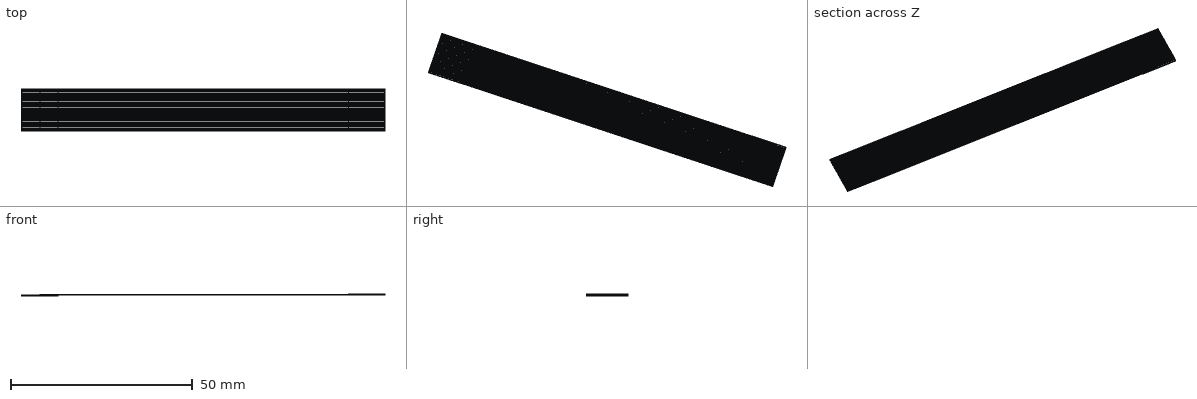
import cadquery as cq

cable_length = 100.0
cable_width = 11.5

channel_pitch = 0.5
channel_count = round(cable_width / channel_pitch) - 1
channel_width = 0.3
channel_height = 0.05

cable_thickness = 0.14
film_thickness = (cable_thickness - channel_height) / 2
exposed_length = 5.0

overall_thickness = 0.59
stiffener_thickness = (overall_thickness - cable_thickness) / 2
stiffener_length = 10.0

cable_end = cable_length / 2
cable_start = -cable_end
channel_top = channel_height / 2
channel_bottom = -channel_top
film_top = channel_top + film_thickness
film_bottom = -film_top


def strip(x_start, x_end, z_bottom, z_top, width=cable_width, y_center=0.0):
    """Flat strip between two stations along the cable and two heights."""
    middle = (x_start + x_end) / 2
    return (
        cq.Workplane("XY", origin=(middle, y_center, z_bottom))
        .rect(x_end - x_start, width)
        .extrude(z_top - z_bottom)
    )


def make_insulation():
    """Layer between the channels, with films that stop short at the bare ends."""
    channel_layer = strip(cable_start, cable_end, channel_bottom, channel_top)
    top_film = strip(cable_start + exposed_length, cable_end, channel_top, film_top)
    bottom_film = strip(cable_start, cable_end - exposed_length, film_bottom, channel_bottom)
    return channel_layer.union(top_film).union(bottom_film)


def make_stiffeners():
    """Backing strips, each on the side opposite the open channels."""
    start_stiffener = strip(
        cable_start, cable_start + stiffener_length, film_bottom - stiffener_thickness, film_bottom
    )
    end_stiffener = strip(
        cable_end - stiffener_length, cable_end, film_top, film_top + stiffener_thickness
    )
    return start_stiffener.union(end_stiffener)


def make_channels():
    """Full-length voids of all the conductors."""
    first_y = -(channel_count - 1) * channel_pitch / 2
    channels = cq.Workplane("XY")
    for index in range(channel_count):
        channel_y = first_y + index * channel_pitch
        channel = strip(cable_start, cable_end, channel_bottom, channel_top, channel_width, channel_y)
        channels = channels.add(channel)
    return channels.combine()


result = make_insulation().union(make_stiffeners()).cut(make_channels())